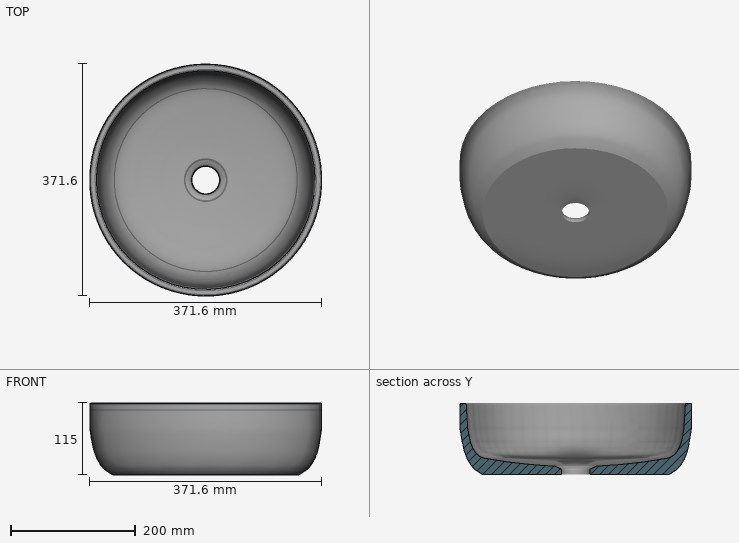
import cadquery as cq
import math

height = 115.0
outer_radius = 371.62 / 2

band_height = 11.0
rim_width = 10.6
rim_outer_fillet = 2.0
rim_inner_fillet = 2.2
rim_inner_radius = outer_radius - rim_width
band_bottom_z = height - band_height

base_radius = 149.0
base_slope = math.radians(35.0)
outer_wall_points = [(162.4, 9.0), (172.6, 22.3), (180.3, 42.4), (184.4, 66.0)]

floor_radius = 146.6
floor_edge_z = 27.2
floor_drain_z = 14.6
inner_wall_points = [(160.6, 36.0), (167.2, 48.0), (172.0, 67.0)]
rim_wall_lean = math.radians(2.0)

drain_seat_radius = 33.6
drain_seat_bottom_z = 9.2
drain_hole_radius = 22.2
drain_seat_fillet = 2.6
drain_hole_fillet = 2.0


def floor_dish_radius():
    """Radius of the shallow dish, level on the axis, that meets both ends of the floor."""
    rise = floor_edge_z - floor_drain_z
    return (floor_radius**2 - drain_seat_radius**2) / (2 * rise)


def floor_height(radius):
    """Height of the dished floor at a distance from the axis."""
    return floor_drain_z + (radius**2 - drain_seat_radius**2) / (2 * floor_dish_radius())


def basin_section():
    """Half section of the wall and floor in the XZ plane, right of the axis."""
    floor_mid_radius = (drain_seat_radius + floor_radius) / 2
    floor_edge_slope = floor_radius / floor_dish_radius()
    base_direction = (math.cos(base_slope), math.sin(base_slope))
    rim_wall_direction = (math.sin(rim_wall_lean), math.cos(rim_wall_lean))
    return (
        cq.Workplane("XZ")
        .moveTo(drain_hole_radius, 0)
        .lineTo(base_radius, 0)
        .spline(
            outer_wall_points + [(outer_radius, band_bottom_z)],
            tangents=[base_direction, (0, 1)],
            includeCurrent=True,
        )
        .lineTo(outer_radius, height)
        .lineTo(rim_inner_radius, height)
        .spline(
            inner_wall_points[::-1] + [(floor_radius, floor_edge_z)],
            tangents=[(-rim_wall_direction[0], -rim_wall_direction[1]), (-1, -floor_edge_slope)],
            includeCurrent=True,
        )
        .threePointArc(
            (floor_mid_radius, floor_height(floor_mid_radius)),
            (drain_seat_radius, floor_drain_z),
        )
        .lineTo(drain_hole_radius, drain_seat_bottom_z)
        .close()
    )


def round_edge(body, radius, z, fillet):
    """Fillet the circular edge of the given radius at height z."""
    margin = 0.1
    reach = radius + margin
    edges_within_radius = cq.selectors.BoxSelector(
        (-reach, -reach, z - margin), (reach, reach, z + margin), boundingbox=True
    )
    largest = cq.selectors.RadiusNthSelector(-1)
    return body.edges(edges_within_radius).edges(largest).fillet(fillet)


basin = basin_section().revolve(360, (0, 0, 0), (0, 1, 0))
basin = round_edge(basin, outer_radius, height, rim_outer_fillet)
basin = round_edge(basin, rim_inner_radius, height, rim_inner_fillet)
basin = round_edge(basin, drain_seat_radius, floor_drain_z, drain_seat_fillet)
result = round_edge(basin, drain_hole_radius, drain_seat_bottom_z, drain_hole_fillet)